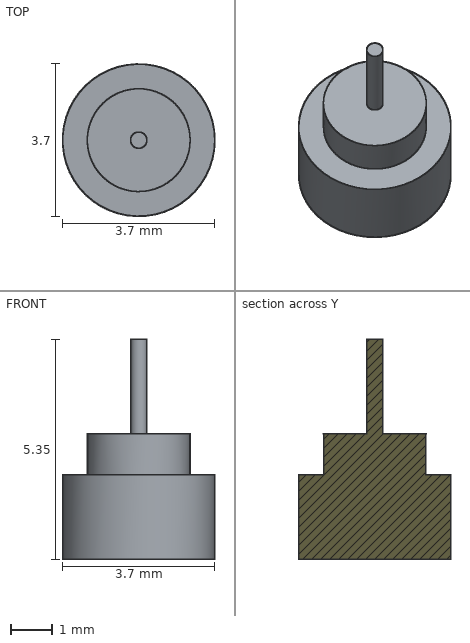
import cadquery as cq

total_height = 5.35
base_diameter = 3.7
base_height = 2.055
collar_diameter = 2.5
collar_height = 1.0
pin_diameter = 0.395

collar_top = base_height + collar_height
pin_height = total_height - collar_top


def cylinder(diameter, height, bottom):
    """Upright cylinder on the Z axis, starting at the given height."""
    return cq.Workplane("XY").workplane(offset=bottom).circle(diameter / 2).extrude(height)


base = cylinder(base_diameter, base_height, 0)
collar = cylinder(collar_diameter, collar_height, base_height)
pin = cylinder(pin_diameter, pin_height, collar_top)

result = base.union(collar).union(pin)